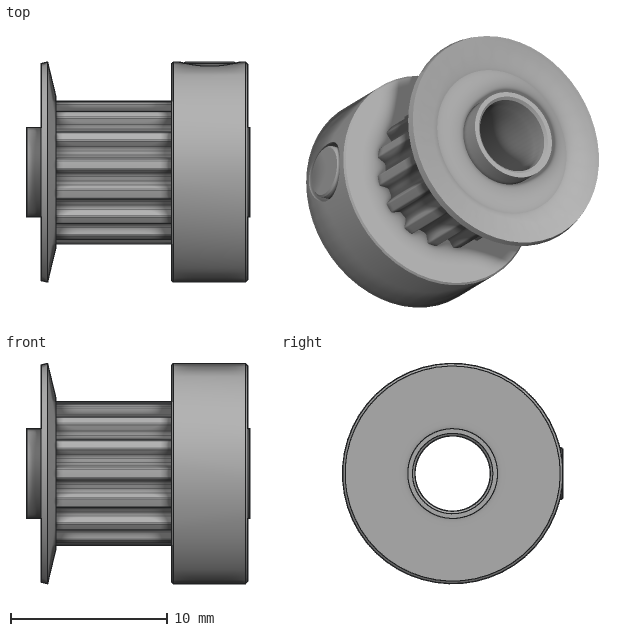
import cadquery as cq
import math


length = 14.29
sleeve_radius = 2.87
bore_radius = 2.4
bore_chamfer = 0.17

hub_start = 9.27
hub_end = 14.16
hub_diameter = 14.1
hub_radius = hub_diameter / 2
hub_inner_chamfer = 0.11
hub_outer_chamfer = 0.17

flange_sheet = 0.43
flange_back = 1.87
flange_flat_radius = 4.83
flange_tilt = math.radians(13.5)

tooth_count = 15
tooth_pitch = 2 * math.pi / tooth_count
tip_radius = 4.6
groove_depth = 0.63
groove_bottom_width = 0.6
groove_flank_angle = math.radians(28)
root_fillet = 0.27
tip_fillet = 0.11
root_radius = tip_radius - groove_depth

screw_radius = 1.67
screw_hole_radius = 1.95
screw_chamfer = 0.11
screw_x = (hub_start + hub_end) / 2


def cylinder(start, end, radius):
    """Solid cylinder along X."""
    return cq.Workplane("YZ", origin=(start, 0, 0)).circle(radius).extrude(end - start)


def radial_cylinder(radius, inner_end, outer_end):
    """Cylinder along +Y at the middle of the hub, between two distances from the pulley axis."""
    plane = cq.Plane(origin=(screw_x, inner_end, 0), xDir=(1, 0, 0), normal=(0, 1, 0))
    return cq.Workplane(plane).circle(radius).extrude(outer_end - inner_end)


def make_hub():
    hub = cylinder(hub_start, hub_end, hub_radius)
    hub = hub.faces("<X").chamfer(hub_inner_chamfer)
    return hub.faces(">X").chamfer(hub_outer_chamfer)


def make_flange():
    """Flat disc with a conical rim leaning towards -X, revolved about X."""
    front = flange_back - flange_sheet
    back_flat_radius = flange_flat_radius + flange_sheet * math.tan(flange_tilt / 2)
    rim_back_x = flange_back - (hub_radius - back_flat_radius) * math.tan(flange_tilt)
    rim_front_x = rim_back_x - flange_sheet * math.cos(flange_tilt)
    rim_front_radius = hub_radius - flange_sheet * math.sin(flange_tilt)
    return (
        cq.Workplane("XY")
        .moveTo(front, 0)
        .lineTo(front, flange_flat_radius)
        .lineTo(rim_front_x, rim_front_radius)
        .lineTo(rim_back_x, hub_radius)
        .lineTo(flange_back, back_flat_radius)
        .lineTo(flange_back, 0)
        .close()
        .revolve(360, (0, 0, 0), (1, 0, 0))
    )


def make_teeth():
    """Toothed prism between flange and hub, with one tooth centred on -Y."""

    def polar(radius, angle):
        return radius * math.cos(angle), radius * math.sin(angle)

    bottom_half = math.asin(groove_bottom_width / 2 / root_radius)
    mouth_width = groove_bottom_width + 2 * groove_depth * math.tan(groove_flank_angle)
    mouth_half = math.asin(mouth_width / 2 / tip_radius)

    outline = cq.Workplane("YZ", origin=(flange_back, 0, 0)).moveTo(*polar(root_radius, -bottom_half))
    for index in range(tooth_count):
        groove = index * tooth_pitch
        next_groove = groove + tooth_pitch
        outline = (
            outline.threePointArc(polar(root_radius, groove), polar(root_radius, groove + bottom_half))
            .lineTo(*polar(tip_radius, groove + mouth_half))
            .threePointArc(
                polar(tip_radius, groove + tooth_pitch / 2),
                polar(tip_radius, next_groove - mouth_half),
            )
        )
        if index < tooth_count - 1:
            outline = outline.lineTo(*polar(root_radius, next_groove - bottom_half))
    teeth = outline.close().extrude(hub_start - flange_back)

    def distance_from_axis(edge):
        return math.hypot(edge.Center().y, edge.Center().z)

    middle_radius = (root_radius + tip_radius) / 2
    root_corners = teeth.edges("|X").filter(lambda edge: distance_from_axis(edge) < middle_radius)
    teeth = root_corners.fillet(root_fillet)
    tip_limit = tip_radius - tip_fillet / 2
    tip_corners = teeth.edges("|X").filter(lambda edge: distance_from_axis(edge) > tip_limit)
    return tip_corners.fillet(tip_fillet)


def make_bore():
    """Through bore with a chamfer at each mouth."""
    mouth_radius = bore_radius + bore_chamfer
    return (
        cq.Workplane("XY")
        .moveTo(0, 0)
        .lineTo(0, mouth_radius)
        .lineTo(bore_chamfer, bore_radius)
        .lineTo(length - bore_chamfer, bore_radius)
        .lineTo(length, mouth_radius)
        .lineTo(length, 0)
        .close()
        .revolve(360, (0, 0, 0), (1, 0, 0))
    )


def make_pulley():
    pulley = cylinder(0, length, sleeve_radius)
    pulley = pulley.union(make_flange()).union(make_teeth()).union(make_hub())
    screw_hole = radial_cylinder(screw_hole_radius, 0, hub_radius)
    return pulley.cut(make_bore()).cut(screw_hole)


def make_set_screw():
    """Screw reaching from the bore radius to the hub radius, chamfered at its outer end."""
    return radial_cylinder(screw_radius, bore_radius, hub_radius).faces(">Y").chamfer(screw_chamfer)


pulley = make_pulley()
set_screw = make_set_screw()
result = cq.Compound.makeCompound([pulley.val(), set_screw.val()])